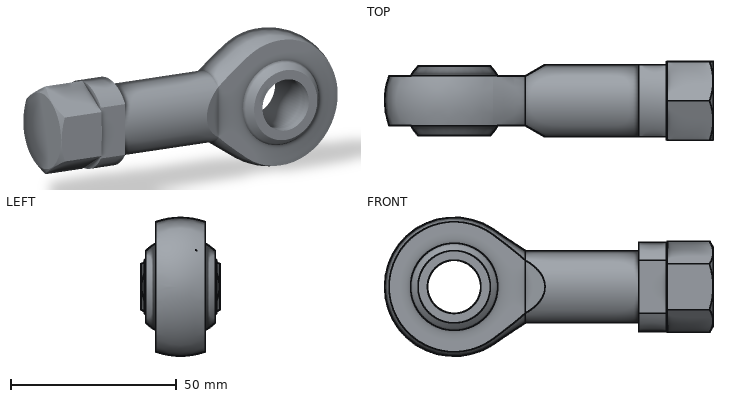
import cadquery as cq
import math


ball_width = 21.0
ball_face_diameter = 21.82
bore_diameter = 16.0
ball_radius = math.hypot(ball_face_diameter / 2, ball_width / 2)

eye_radius = 21.0
eye_width = 15.0
shank_diameter = 21.82
shank_radius = shank_diameter / 2
shank_start = 21.5
ramp_angle = 30.0

collar_radius = 13.5
collar_start = 55.6
collar_end = 64.0
collar_across_flats = shank_diameter

washer_radius = 11.7
washer_thickness = 0.3
hex_start = collar_end + washer_thickness
hex_end = 78.2
hex_across_flats = 23.83
hex_corner_radius = hex_across_flats / math.sqrt(3)
hex_end_radius = washer_radius
hex_chamfer_angle = 30.0


def make_turned_ball(inner_radius):
    """Ball with flat Y faces, turned about Y and hollow inside the inner radius."""
    half_width = ball_width / 2
    face_radius = ball_face_diameter / 2
    return (
        cq.Workplane("XY")
        .moveTo(inner_radius, -half_width)
        .lineTo(face_radius, -half_width)
        .threePointArc((ball_radius, 0), (face_radius, half_width))
        .lineTo(inner_radius, half_width)
        .close()
        .revolve(360, (0, 0, 0), (0, 1, 0))
    )


def make_eye_and_shank():
    """Spherical eye running into the shank through a tangent cone, turned about X."""
    start_distance = math.hypot(shank_start, shank_radius)
    tangent_angle = math.atan2(shank_radius, shank_start) + math.acos(eye_radius / start_distance)
    tangent_point = (eye_radius * math.cos(tangent_angle), eye_radius * math.sin(tangent_angle))
    turned = (
        cq.Workplane("XY")
        .moveTo(-eye_radius, 0)
        .threePointArc((0, eye_radius), tangent_point)
        .lineTo(shank_start, shank_radius)
        .lineTo(collar_end, shank_radius)
        .lineTo(collar_end, 0)
        .close()
        .revolve(360, (0, 0, 0), (1, 0, 0))
    )
    return turned.intersect(make_side_envelope())


def make_side_envelope():
    """Block with the flat eye sides and the ramps that widen to the full shank."""
    half_eye = eye_width / 2
    ramp_end = shank_start + (shank_radius - half_eye) / math.tan(math.radians(ramp_angle))
    return (
        cq.Workplane("XY")
        .moveTo(-eye_radius, -half_eye)
        .lineTo(shank_start, -half_eye)
        .lineTo(ramp_end, -shank_radius)
        .lineTo(collar_end, -shank_radius)
        .lineTo(collar_end, shank_radius)
        .lineTo(ramp_end, shank_radius)
        .lineTo(shank_start, half_eye)
        .lineTo(-eye_radius, half_eye)
        .close()
        .extrude(eye_radius, both=True)
    )


def make_collar():
    """Round collar with flats on its two Y sides."""
    length = collar_end - collar_start
    base = cq.Workplane("YZ", origin=(collar_start, 0, 0))
    flats = base.rect(collar_across_flats, 2 * collar_radius).extrude(length)
    return base.circle(collar_radius).extrude(length).intersect(flats)


def make_washer_face():
    """Thin disc between the collar and the hexagon."""
    return cq.Workplane("YZ", origin=(collar_end, 0, 0)).circle(washer_radius).extrude(washer_thickness)


def make_hex():
    """Hexagon with flats on its Y sides and its end corners chamfered by a cone."""
    length = hex_end - hex_start
    prism = (
        cq.Workplane("YZ", origin=(hex_start, 0, 0))
        .polygon(6, 2 * hex_corner_radius)
        .extrude(length)
        .rotate((0, 0, 0), (1, 0, 0), 90)
    )
    chamfer_length = (hex_corner_radius - hex_end_radius) * math.tan(math.radians(hex_chamfer_angle))
    chamfered_envelope = (
        cq.Workplane("XY")
        .moveTo(hex_start, 0)
        .lineTo(hex_start, hex_corner_radius)
        .lineTo(hex_end - chamfer_length, hex_corner_radius)
        .lineTo(hex_end, hex_end_radius)
        .lineTo(hex_end, 0)
        .close()
        .revolve(360, (0, 0, 0), (1, 0, 0))
    )
    return prism.intersect(chamfered_envelope)


def make_housing():
    """Eye, shank, collar and hexagon as one solid with a spherical seat for the ball."""
    seat = make_turned_ball(0)
    body = make_eye_and_shank()
    for section in (make_collar(), make_washer_face(), make_hex()):
        body = body.union(section)
    return body.cut(seat)


ball = make_turned_ball(bore_diameter / 2)
housing = make_housing()
result = cq.Compound.makeCompound([housing.val(), ball.val()])